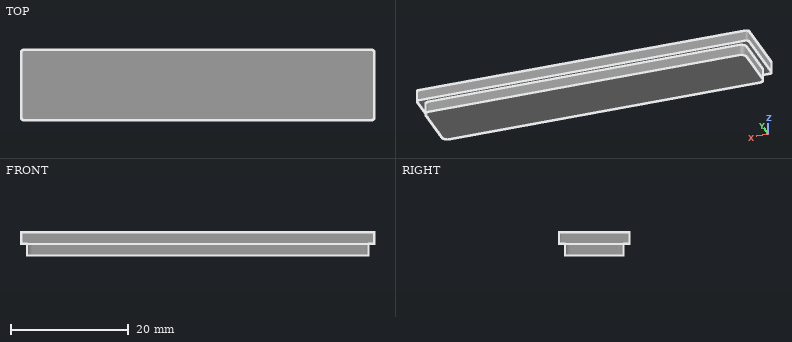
import cadquery as cq

plate_length = 60.0
plate_width = 12.0
plate_thickness = 2.0
plate_corner_radius = 0.5

plinth_inset = 1.0
plinth_length = plate_length - 2 * plinth_inset
plinth_width = plate_width - 2 * plinth_inset
plinth_height = 2.0
plinth_corner_radius = 1.0


def rounded_block(length, width, height, corner_radius, base_z):
    """Block centred on the Z axis with rounded vertical edges."""
    block = cq.Workplane("XY").workplane(offset=base_z).rect(length, width).extrude(height)
    return block.edges("|Z").fillet(corner_radius)


plinth = rounded_block(plinth_length, plinth_width, plinth_height, plinth_corner_radius, 0)
plate = rounded_block(plate_length, plate_width, plate_thickness, plate_corner_radius, plinth_height)

result = plinth.union(plate)